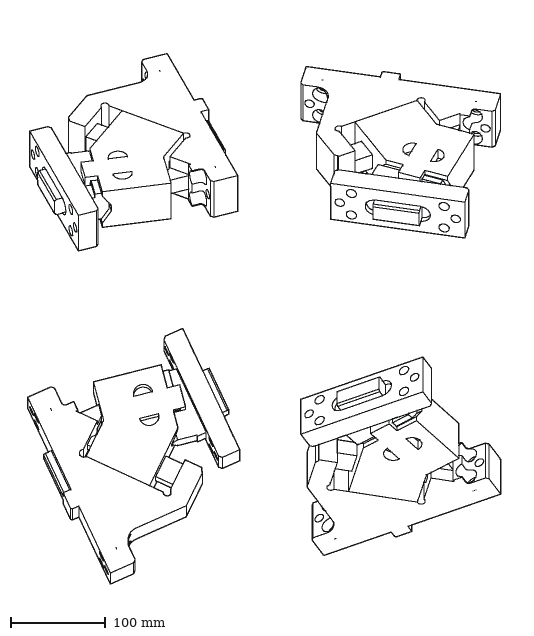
import cadquery as cq
import math


LENGTH = 210.0
DEPTH = 198.0
HEIGHT = 50.0
HALF_HEIGHT = HEIGHT / 2
CUT = 2 * LENGTH

CORNER_CHAMFER = 3.0
KEY_RISE = 9.0
KEY_LENGTH = 50.0
KEY_WIDTH = 21.2
KEY_CHAMFER = 2.0
BOLT_Z = 15.0
DOWEL_RADIUS = 5.0

PLATE_THICKNESS = 30.0
PLATE_BACK_Y = DEPTH - KEY_RISE
PLATE_FRONT_Y = PLATE_BACK_Y - PLATE_THICKNESS
COLUMN_X = 33.2
COLUMN_FILLET = 15.0
LEG_X = 185.6
LEG_FILLET = 4.0
LEG_FRONT_Y = 146.5
LEG_NOTCH_X = 175.0
LUG_X = 80.0
LUG_LENGTH = 20.0
LUG_CHAMFER = 1.5
HOLDER_BOLT_INSET = 22.5
HOLDER_BOLT_RADIUS = 5.5
COUNTERBORE_RADIUS = 9.0
COUNTERBORE_SINK = 13.0
HOLDER_DOWEL_INSET = 10.0

CHANNEL_ANGLE = math.radians(40)
CHANNEL_ORIGIN = (69.0, 112.0)
ARM_INNER = -21.6
ARM_OUTER = -44.3
ARM_CHAMFER = 2.7
ARM_PAD = 1.7
LEG_INNER = 80.0
ARM_END = 40.0
RELIEF_RADIUS = 4.2
RELIEF_INSET = 1.9
WING_START = 15.1
WING_HEIGHT = 19.0
WING_END_X = 146.2

SLIDE_ANGLE = math.radians(-10)
SLIDE_WIDTH = 74.3
SLIDE_LEFT_SIDE = 70.0
SLIDE_BOTTOM = 70.5
SLIDE_RISE = 74.0
TAB_START = 19.7
TAB_WIDTH = 24.8
TAB_DROP = 13.5
POCKET_RADIUS = 10.3
POCKET_UP = 26.5
POCKET_DEPTH = 12.0

TONGUE_START = -10.0
TONGUE_LENGTH = 75.0
TONGUE_HALF = 13.0
HEAD_HALF = 18.0
HEAD_DROP = 6.7
TONGUE_RISE = 8.5
SIDE_CLEARANCE = 1.0
END_CLEARANCE = 1.3
SLOT_START = -20.2
ROOF_SLOPE = 1.6

DRIVER_LENGTH = 145.0
DRIVER_THICKNESS = 23.3
DRIVER_START_X = LENGTH - DRIVER_LENGTH
DRIVER_CENTRE_X = LENGTH - DRIVER_LENGTH / 2
DRIVER_TOP_Y = KEY_RISE + DRIVER_THICKNESS
DRIVER_BOLT_SPREAD = 50.0
DRIVER_BOLT_RADIUS = 5.5
DRIVER_DOWEL_SPREAD = 62.5
RECESS_LENGTH = 70.1
RECESS_WIDTH = 20.0
RECESS_DEPTH = 6.0
FOOT_X = 99.5
FOOT_TOP_Y = 42.5


def channel_point(across, down):
    """Point of the channel frame in X, Y."""
    c = math.cos(CHANNEL_ANGLE)
    s = math.sin(CHANNEL_ANGLE)
    return (CHANNEL_ORIGIN[0] + across * c + down * s, CHANNEL_ORIGIN[1] + across * s - down * c)


SLIDE_ORIGIN = channel_point(0, SLIDE_LEFT_SIDE)


def slide_point(along, up):
    """Point of the slide frame in X, Y."""
    c = math.cos(SLIDE_ANGLE)
    s = math.sin(SLIDE_ANGLE)
    return (SLIDE_ORIGIN[0] + along * c - up * s, SLIDE_ORIGIN[1] + along * s + up * c)


def crossing(first, second):
    """Point where two lines cross; each line is a pair of points."""
    (ax, ay), (bx, by) = first
    (cx, cy), (dx, dy) = second
    across = (bx - ax) * (dy - cy) - (by - ay) * (dx - cx)
    share = ((cx - ax) * (dy - cy) - (cy - ay) * (dx - cx)) / across
    return (ax + share * (bx - ax), ay + share * (by - ay))


def across_line(down):
    """Line of the channel frame parallel to the channel floor."""
    return channel_point(0, down), channel_point(2, down)


def down_line(across):
    """Line of the channel frame square to the channel floor."""
    return channel_point(across, 0), channel_point(across, 2)


def x_line(x):
    """Line along Y at the given X."""
    return (x, 0), (x, 1)


SLIDE_UPPER_FACE = (slide_point(0, SLIDE_RISE), slide_point(2, SLIDE_RISE))


def slab(points, height=HEIGHT):
    """Polygon in X, Y made into a plate centred on the mid plane."""
    return cq.Workplane("XY").polyline(points).close().extrude(height / 2, both=True)


def y_cylinders(centres, radius, start_y, length):
    """Cylinders along +Y that start at start_y; centres are (x, z) pairs."""
    plane = cq.Workplane(cq.Plane((0, start_y, 0), (1, 0, 0), (0, -1, 0)))
    return plane.pushPoints(centres).circle(radius).extrude(-length)


def locating_key(start_x, root_y, tip_y):
    """Bar along X from root_y to tip_y with its two long tip edges chamfered."""
    direction = math.copysign(1, tip_y - root_y)
    half = KEY_WIDTH / 2
    shoulder_y = tip_y - direction * KEY_CHAMFER
    profile = [
        (root_y, -half),
        (shoulder_y, -half),
        (tip_y, KEY_CHAMFER - half),
        (tip_y, half - KEY_CHAMFER),
        (shoulder_y, half),
        (root_y, half),
    ]
    return cq.Workplane("YZ", origin=(start_x, 0, 0)).polyline(profile).close().extrude(KEY_LENGTH)


def holder_outline():
    return slab([
        (0, PLATE_BACK_Y),
        (LENGTH, PLATE_BACK_Y),
        (LENGTH, PLATE_FRONT_Y + CORNER_CHAMFER),
        (LENGTH - CORNER_CHAMFER, PLATE_FRONT_Y),
        (LEG_X, PLATE_FRONT_Y),
        (LEG_X, LEG_FRONT_Y),
        (LEG_NOTCH_X, LEG_FRONT_Y),
        crossing(across_line(ARM_END), x_line(LEG_NOTCH_X)),
        channel_point(LEG_INNER, ARM_END),
        channel_point(LEG_INNER, 0),
        channel_point(ARM_INNER, 0),
        channel_point(ARM_INNER, ARM_END + ARM_PAD),
        channel_point(ARM_OUTER + ARM_CHAMFER, ARM_END + ARM_PAD),
        channel_point(ARM_OUTER + ARM_CHAMFER, ARM_END),
        channel_point(ARM_OUTER, ARM_END - ARM_CHAMFER),
        crossing(down_line(ARM_OUTER), x_line(COLUMN_X)),
        (COLUMN_X, PLATE_FRONT_Y),
        (CORNER_CHAMFER, PLATE_FRONT_Y),
        (0, PLATE_FRONT_Y + CORNER_CHAMFER),
    ])


def round_plate_corner(body, x, radius):
    corner = cq.selectors.NearestToPointSelector((x, PLATE_FRONT_Y, 0))
    return body.edges("|Z").edges(corner).fillet(radius)


def channel_reliefs():
    centres = [
        channel_point(ARM_INNER + RELIEF_INSET, RELIEF_INSET),
        channel_point(LEG_INNER - RELIEF_INSET, RELIEF_INSET),
    ]
    return cq.Workplane("XY").pushPoints(centres).circle(RELIEF_RADIUS).extrude(HALF_HEIGHT, both=True)


def leg_extension():
    """Thin middle part of the leg, which runs on down to the slide's upper face."""
    return slab(
        [
            channel_point(LEG_INNER, ARM_END),
            crossing(down_line(LEG_INNER), SLIDE_UPPER_FACE),
            crossing(x_line(LEG_NOTCH_X), SLIDE_UPPER_FACE),
            crossing(x_line(LEG_NOTCH_X), across_line(ARM_END)),
        ],
        WING_HEIGHT,
    )


def holder_lug():
    return slab([
        (LUG_X, PLATE_BACK_Y),
        (LUG_X, DEPTH - LUG_CHAMFER),
        (LUG_X + LUG_CHAMFER, DEPTH),
        (LUG_X + LUG_LENGTH, DEPTH),
        (LUG_X + LUG_LENGTH, PLATE_BACK_Y),
    ])


def make_holder():
    body = holder_outline()
    body = round_plate_corner(body, COLUMN_X, COLUMN_FILLET)
    body = round_plate_corner(body, LEG_X, LEG_FILLET)
    body = body.cut(channel_reliefs()).union(leg_extension())
    body = body.union(holder_lug()).union(locating_key(LUG_X + LUG_LENGTH, PLATE_BACK_Y, DEPTH))

    bolts = [(x, z) for x in (HOLDER_BOLT_INSET, LENGTH - HOLDER_BOLT_INSET) for z in (-BOLT_Z, BOLT_Z)]
    dowels = [(x, 0) for x in (HOLDER_DOWEL_INSET, LENGTH - HOLDER_DOWEL_INSET)]
    floor_y = PLATE_FRONT_Y + COUNTERBORE_SINK
    body = body.cut(y_cylinders(bolts, HOLDER_BOLT_RADIUS, 0, CUT))
    body = body.cut(y_cylinders(bolts, COUNTERBORE_RADIUS, 0, floor_y))
    return body.cut(y_cylinders(dowels, DOWEL_RADIUS, 0, CUT))


def along_prism(profile, start, length):
    """Prism along the slide's bottom face; the profile holds (up, z) pairs."""
    along = (math.cos(SLIDE_ANGLE), math.sin(SLIDE_ANGLE), 0)
    up = (-math.sin(SLIDE_ANGLE), math.cos(SLIDE_ANGLE), 0)
    plane = cq.Plane((*slide_point(start, 0), 0), up, along)
    return cq.Workplane(plane).polyline(profile).close().extrude(length)


def bar_profile(bottom, top, half):
    return [(bottom, -half), (top, -half), (top, half), (bottom, half)]


def roof_profile(bottom, half, eaves_half, tip):
    """Straight sides at half height, then a roof narrowing towards the tip.

    eaves_half is the half height that the roof planes have level with the slide's bottom face.
    """
    shoulder = (eaves_half - half) / ROOF_SLOPE
    tip_half = eaves_half - ROOF_SLOPE * tip
    return [
        (bottom, -half),
        (shoulder, -half),
        (tip, -tip_half),
        (tip, tip_half),
        (shoulder, half),
        (bottom, half),
    ]


def slide_outline():
    tab_end = TAB_START + TAB_WIDTH
    return slab([
        channel_point(0, 0),
        channel_point(SLIDE_WIDTH, 0),
        crossing(down_line(SLIDE_WIDTH), SLIDE_UPPER_FACE),
        slide_point(SLIDE_BOTTOM, SLIDE_RISE),
        slide_point(SLIDE_BOTTOM, 0),
        slide_point(tab_end, 0),
        slide_point(tab_end, -TAB_DROP),
        slide_point(TAB_START, -TAB_DROP),
        slide_point(TAB_START, 0),
        slide_point(0, 0),
    ])


def left_wing():
    return slab(
        [
            channel_point(0, WING_START),
            channel_point(ARM_INNER, WING_START),
            channel_point(ARM_INNER, ARM_END),
            channel_point(0, ARM_END),
        ],
        WING_HEIGHT,
    )


def right_wing():
    return slab(
        [
            channel_point(SLIDE_WIDTH, WING_START),
            channel_point(LEG_INNER, WING_START),
            crossing(down_line(LEG_INNER), x_line(WING_END_X)),
            crossing(down_line(SLIDE_WIDTH), x_line(WING_END_X)),
        ],
        WING_HEIGHT,
    )


def half_round_pocket(along, side, bottom_z):
    """Half-round pocket whose flat wall is at along; side tells which way it bulges."""
    return (
        cq.Workplane("XY", origin=(0, 0, bottom_z))
        .moveTo(*slide_point(along, POCKET_UP - POCKET_RADIUS))
        .threePointArc(
            slide_point(along + side * POCKET_RADIUS, POCKET_UP),
            slide_point(along, POCKET_UP + POCKET_RADIUS),
        )
        .close()
        .extrude(POCKET_DEPTH)
    )


def tongue_slot():
    """Slot through the slide that clears the tongue's head, with a narrow neck through the tab."""
    half = HEAD_HALF + SIDE_CLEARANCE
    bottom = -HEAD_DROP - SIDE_CLEARANCE
    head = roof_profile(bottom, half, half, TONGUE_RISE + END_CLEARANCE)
    neck = bar_profile(-TAB_DROP, bottom, TONGUE_HALF)
    return along_prism(head, SLOT_START, CUT).union(along_prism(neck, SLOT_START, CUT))


def make_slide():
    body = slide_outline().union(left_wing()).union(right_wing()).cut(tongue_slot())
    for bottom_z in (-HALF_HEIGHT, HALF_HEIGHT - POCKET_DEPTH):
        body = body.cut(half_round_pocket(TAB_START, -1, bottom_z))
        body = body.cut(half_round_pocket(TAB_START + TAB_WIDTH, 1, bottom_z))
    return body


def driver_plate():
    return slab([
        (DRIVER_START_X, KEY_RISE),
        (LENGTH, KEY_RISE),
        (LENGTH, DRIVER_TOP_Y - CORNER_CHAMFER),
        (LENGTH - CORNER_CHAMFER, DRIVER_TOP_Y),
        (DRIVER_START_X + CORNER_CHAMFER, DRIVER_TOP_Y),
        (DRIVER_START_X, DRIVER_TOP_Y - CORNER_CHAMFER),
    ])


def driver_tongue():
    """Tongue with its wider head, cut off at the plate, and the foot at its left."""
    tongue_end = TONGUE_START + TONGUE_LENGTH
    tongue_profile = roof_profile(-LENGTH, TONGUE_HALF, HEAD_HALF, TONGUE_RISE)
    head_profile = roof_profile(-HEAD_DROP, HEAD_HALF, HEAD_HALF, TONGUE_RISE)
    tongue = along_prism(tongue_profile, TONGUE_START, TONGUE_LENGTH)
    head = along_prism(head_profile, TAB_START, tongue_end - TAB_START)
    below_plate_top = cq.Workplane("XY").box(2 * CUT, CUT, CUT).translate((0, DRIVER_TOP_Y - CUT / 2, 0))
    foot = cq.Workplane("XY").box(
        DRIVER_CENTRE_X - FOOT_X, FOOT_TOP_Y - DRIVER_TOP_Y, 2 * TONGUE_HALF, centered=(False, False, True)
    )
    left_of_foot = cq.Workplane("XY").box(CUT, 2 * CUT, CUT).translate((FOOT_X - CUT / 2, 0, 0))
    tongue = tongue.union(head).cut(below_plate_top).cut(left_of_foot)
    return tongue.union(foot.translate((FOOT_X, DRIVER_TOP_Y, 0)))


def key_recess():
    plane = cq.Plane((DRIVER_CENTRE_X, KEY_RISE, 0), (1, 0, 0), (0, -1, 0))
    return cq.Workplane(plane).slot2D(RECESS_LENGTH, RECESS_WIDTH).extrude(-RECESS_DEPTH)


def make_driver():
    body = driver_plate().union(driver_tongue()).cut(key_recess())
    key_start = DRIVER_CENTRE_X - KEY_LENGTH / 2
    body = body.union(locating_key(key_start, KEY_RISE + RECESS_DEPTH, 0))

    bolts = [
        (DRIVER_CENTRE_X + side * DRIVER_BOLT_SPREAD, z) for side in (-1, 1) for z in (-BOLT_Z, BOLT_Z)
    ]
    dowels = [(DRIVER_CENTRE_X + side * DRIVER_DOWEL_SPREAD, 0) for side in (-1, 1)]
    body = body.cut(y_cylinders(bolts, DRIVER_BOLT_RADIUS, 0, CUT))
    return body.cut(y_cylinders(dowels, DOWEL_RADIUS, 0, CUT))


holder = make_holder()
slide = make_slide()
driver = make_driver()

result = cq.Compound.makeCompound([holder.val(), slide.val(), driver.val()])